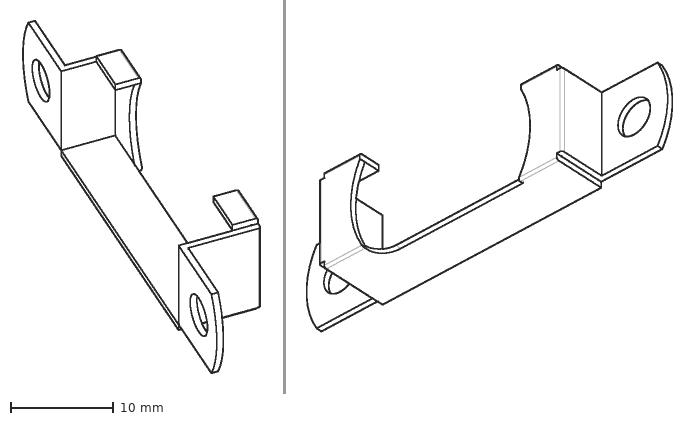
import cadquery as cq

length = 47.95
height = 11.5
sheet = 0.7
bend_radius = 0.3

inner_width = 29.0
left_depth = 6.45
right_depth = 8.5
tab_depth = 2.75
tab_length = 4.75
bore_radius = 11.0
weld_overlap = 0.01

ear_corner_x = 22.65
ear_hole_x = 19.5
ear_hole_diameter = 4.25

floor_depth = left_depth - sheet
half_inner = inner_width / 2
half_outer = half_inner + sheet
half_height = height / 2
half_wall = half_height - sheet
corner_radius = right_depth - sheet - floor_depth
tab_end_x = half_inner - tab_length


def block(x_range, y_range, z_range):
    """Box between two limits along each axis, given in either order."""
    limits = [sorted(pair) for pair in (x_range, y_range, z_range)]
    sizes = [high - low for low, high in limits]
    corner = tuple(low for low, high in limits)
    return cq.Workplane("XY").box(*sizes, centered=False).translate(corner)


def make_bore(end_radius=0):
    """Clearance cylinder along Y from the back edge of the floor, its front rim optionally rounded."""
    bore = (
        cq.Workplane("XZ", origin=(0, floor_depth, 0))
        .circle(bore_radius)
        .extrude(-right_depth)
    )
    if end_radius:
        bore = bore.edges("<Y").fillet(end_radius)
    return bore


def make_floor():
    """Floor strip with a flange running back under each back wall."""
    floor_z = (-half_height, -half_wall)
    edge_x = half_inner + weld_overlap
    floor = block((-edge_x, edge_x), (0, floor_depth), floor_z)
    for side, depth, end_radius in ((-1, left_depth, 0), (1, right_depth, corner_radius)):
        flange = block((0, side * edge_x), (0, depth), floor_z)
        flange = flange.edges(">Y and <Z").fillet(bend_radius)
        floor = floor.union(flange.cut(make_bore(end_radius)))
    return floor


def make_back_wall(side, depth):
    """Back wall with its bored inner end and rounded outer corner."""
    wall = block((0, side * half_outer), (depth - sheet, depth), (-half_wall, half_wall))
    outer_corner = ">Y and >X" if side > 0 else ">Y and <X"
    return wall.edges(outer_corner).fillet(bend_radius).cut(make_bore())


def make_tab(side, depth):
    """Tab folded forward from the top of the back wall."""
    tab = block(
        (side * tab_end_x, side * half_inner),
        (depth - tab_depth, depth),
        (half_wall, half_height),
    )
    return tab.edges(">Y and >Z").fillet(bend_radius)


def make_side_wall(side, depth):
    """Wall joining the ear to the back wall."""
    return block(
        (side * half_inner, side * half_outer),
        (0, depth - bend_radius),
        (-half_wall, half_wall),
    )


def make_ear(side):
    """Mounting ear with an arched end and a screw hole."""
    ear = (
        cq.Workplane("XZ")
        .moveTo(side * half_inner, -half_wall)
        .lineTo(side * ear_corner_x, -half_wall)
        .threePointArc((side * length / 2, 0), (side * ear_corner_x, half_wall))
        .lineTo(side * half_inner, half_wall)
        .close()
        .extrude(-sheet)
    )
    hole = (
        cq.Workplane("XZ")
        .center(side * ear_hole_x, 0)
        .circle(ear_hole_diameter / 2)
        .extrude(-sheet)
    )
    return ear.cut(hole)


result = make_floor()
for side, depth in ((-1, left_depth), (1, right_depth)):
    result = result.union(make_back_wall(side, depth))
    result = result.union(make_tab(side, depth))
    result = result.union(make_side_wall(side, depth))
    result = result.union(make_ear(side))
result = result.clean()